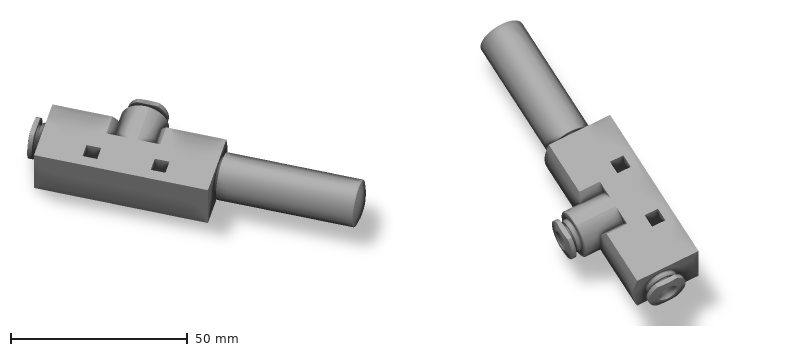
import cadquery as cq

overall_length = 97.6
overall_width = 30.4
height = 14.0

body_length = 51.0
body_edge_width = 19.9
body_crown_width = 21.3
axis_y = 12.25
body_left = -body_length / 2
body_right = body_length / 2
half_height = height / 2

hole_side = 4.3
hole_spacing = 20.0
hole_y = 5.4

fitting_length = 4.2
lip_diameter = 12.0
lip_thickness = 1.8
lip_face_diameter = 7.1
lip_face_drop = 0.5
lip_across_flats = 10.2
neck_diameter = 8.1
collar_diameter = 10.0
collar_tip_diameter = 9.4
collar_length = 1.45
collar_taper = 0.6
bore_diameter = 6.0
bore_depth = 16.0

boss_diameter = 14.2
boss_end_y = overall_width - fitting_length
boss_chamfer = 0.2

pocket_floor_y = 13.25
pocket_half_width = 7.9
pocket_root_x = 5.85
pocket_wall_bulge = 0.15
pocket_root_z = ((boss_diameter / 2) ** 2 - pocket_root_x**2) ** 0.5

silencer_diameter = 13.8
silencer_neck_length = 0.9
silencer_start = body_right + silencer_neck_length
silencer_end = body_left - fitting_length + overall_length
silencer_neck_diameter = 11.4
silencer_neck_root_diameter = 11.0
silencer_neck_taper = 0.6
silencer_rim_length = 0.25
silencer_rim_step = 0.1
dome_height = 1.45


def revolve_about_x(profile):
    return profile.close().revolve(360, (0, 0, 0), (1, 0, 0))


def make_body():
    profile = (
        cq.Workplane("YZ", origin=(body_left, 0, 0))
        .moveTo(0, -half_height)
        .lineTo(body_edge_width, -half_height)
        .threePointArc((body_crown_width, 0), (body_edge_width, half_height))
        .lineTo(0, half_height)
        .close()
    )
    holes = (
        cq.Workplane("XY", origin=(0, hole_y, 0))
        .rarray(hole_spacing, 1, 2, 1)
        .rect(hole_side, hole_side)
        .extrude(half_height, both=True)
    )
    return profile.extrude(body_length).cut(holes)


def make_pocket():
    """Pocket above the boss, open to the back face; its side walls bulge into it."""
    return (
        cq.Workplane("XZ", origin=(0, pocket_floor_y, 0))
        .moveTo(-pocket_half_width, half_height)
        .lineTo(pocket_half_width, half_height)
        .sagittaArc((pocket_root_x, pocket_root_z), -pocket_wall_bulge)
        .lineTo(-pocket_root_x, pocket_root_z)
        .sagittaArc((-pocket_half_width, half_height), -pocket_wall_bulge)
        .close()
        .extrude(-(body_crown_width - pocket_floor_y))
    )


def make_boss():
    boss = (
        cq.Workplane("XZ", origin=(0, pocket_floor_y, 0))
        .circle(boss_diameter / 2)
        .extrude(-(boss_end_y - pocket_floor_y))
        .faces(">Y")
        .chamfer(boss_chamfer)
    )
    return boss.intersect(cq.Workplane("XY").box(body_length, 2 * overall_width, height))


def make_fitting():
    """Fitting along X: its base is at x = 0 and its mouth at x = -fitting_length."""
    collar_tip = -collar_length
    lip_back = lip_thickness - fitting_length
    mouth = -fitting_length
    turned = revolve_about_x(
        cq.Workplane("XY")
        .moveTo(0, 0)
        .lineTo(0, collar_diameter / 2)
        .lineTo(collar_tip + collar_taper, collar_diameter / 2)
        .lineTo(collar_tip, collar_tip_diameter / 2)
        .lineTo(collar_tip, neck_diameter / 2)
        .lineTo(lip_back, neck_diameter / 2)
        .lineTo(lip_back, lip_diameter / 2)
        .lineTo(mouth + lip_face_drop, lip_diameter / 2)
        .lineTo(mouth, lip_face_diameter / 2)
        .lineTo(mouth, 0)
    )
    return turned.intersect(
        cq.Workplane("XY").box(2 * fitting_length, lip_diameter, lip_across_flats)
    )


def make_bore():
    """Tube bore, placed like the fitting."""
    mouth_plane = cq.Workplane("YZ", origin=(-fitting_length, 0, 0))
    return mouth_plane.circle(bore_diameter / 2).extrude(bore_depth)


def place_at_end(shape):
    return shape.translate((body_left, axis_y, 0))


def place_at_side(shape):
    return shape.rotate((0, 0, 0), (0, 0, 1), -90).translate((0, boss_end_y, 0))


def make_silencer():
    radius = silencer_diameter / 2
    rim_radius = radius - silencer_rim_step
    dome_start = silencer_end - dome_height
    dome_radius = (rim_radius**2 + dome_height**2) / (2 * dome_height)
    dome_centre = silencer_end - dome_radius
    mid_radius = rim_radius / 2
    mid_x = dome_centre + (dome_radius**2 - mid_radius**2) ** 0.5
    return revolve_about_x(
        cq.Workplane("XY")
        .moveTo(body_right, 0)
        .lineTo(body_right, silencer_neck_root_diameter / 2)
        .lineTo(body_right + silencer_neck_taper, silencer_neck_diameter / 2)
        .lineTo(silencer_start, silencer_neck_diameter / 2)
        .lineTo(silencer_start, radius)
        .lineTo(dome_start - silencer_rim_length, radius)
        .lineTo(dome_start, rim_radius)
        .threePointArc((mid_x, mid_radius), (silencer_end, 0))
    ).translate((0, axis_y, 0))


pocket = make_pocket()

result = (
    make_body()
    .cut(pocket)
    .cut(pocket.mirror("XY"))
    .union(make_boss())
    .union(make_silencer())
    .union(place_at_end(make_fitting()))
    .union(place_at_side(make_fitting()))
    .cut(place_at_end(make_bore()))
    .cut(place_at_side(make_bore()))
)